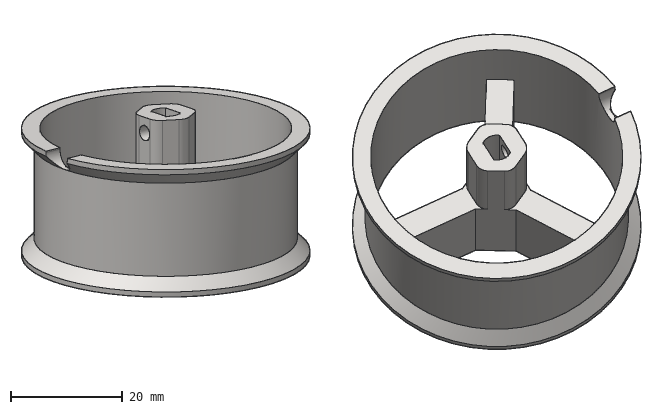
import cadquery as cq
import math

flange_diameter = 52.0
drum_diameter = 47.5
bore_diameter = 45.4
rim_height = 24.0
flange_edge = 1.0
flare = (flange_diameter - drum_diameter) / 2

spoke_count = 3
spoke_width = 5.0
spoke_height = 14.0

total_height = 27.0
hub_flats = 10.0
hub_corner_radius = 2.35

socket_diameter = 5.3
socket_flats = 3.4
socket_depth = total_height - spoke_height
screw_diameter = 2.8
screw_axis_z = rim_height

notch_width = 5.95
notch_depth = 3.2


def make_rim():
    outer = flange_diameter / 2
    drum = drum_diameter / 2
    inner = bore_diameter / 2
    profile = [
        (inner, 0),
        (outer, 0),
        (outer, flange_edge),
        (drum, flange_edge + flare),
        (drum, rim_height - flange_edge - flare),
        (outer, rim_height - flange_edge),
        (outer, rim_height),
        (inner, rim_height),
    ]
    return cq.Workplane("XZ").polyline(profile).close().revolve(360, (0, 0), (0, 1))


def make_spokes():
    core = (
        cq.Workplane("XY")
        .transformed(rotate=(0, 0, 90))
        .polygon(3, 2 * hub_flats)
        .extrude(spoke_height)
    )
    reach = (bore_diameter + drum_diameter) / 4
    spoke = cq.Workplane("XY").box(spoke_width, reach, spoke_height, centered=(True, False, False))
    for index in range(spoke_count):
        core = core.union(spoke.rotate((0, 0, 0), (0, 0, 1), index * 360 / spoke_count))
    return core


def make_hub():
    across_corners = hub_flats / math.cos(math.radians(30))
    return (
        cq.Workplane("XY")
        .polygon(6, across_corners)
        .extrude(total_height)
        .edges("|Z")
        .fillet(hub_corner_radius)
    )


def make_socket():
    start = cq.Workplane("XY").workplane(offset=total_height - socket_depth)
    shaft = start.circle(socket_diameter / 2).extrude(socket_depth)
    flats = start.rect(socket_diameter, socket_flats).extrude(socket_depth)
    return shaft.intersect(flats)


def make_screw_hole():
    return (
        cq.Workplane("XZ")
        .center(0, screw_axis_z)
        .circle(screw_diameter / 2)
        .extrude(hub_flats)
    )


def make_notch():
    radius = notch_width / 2
    bottom = rim_height - notch_depth
    return (
        cq.Workplane("XZ")
        .moveTo(-radius, rim_height)
        .lineTo(-radius, bottom + radius)
        .threePointArc((0, bottom), (radius, bottom + radius))
        .lineTo(radius, rim_height)
        .close()
        .extrude(flange_diameter)
    )


rim = make_rim().cut(make_notch())
hub = make_spokes().union(make_hub()).cut(make_socket()).cut(make_screw_hole())
result = rim.union(hub)